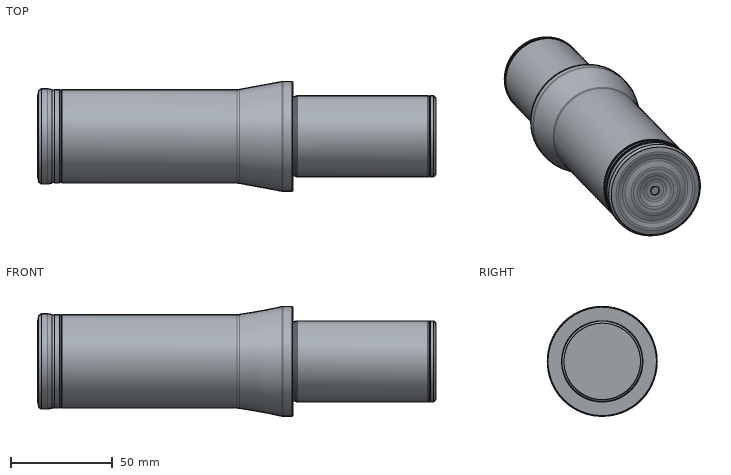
import cadquery as cq

total_length = 196.0
flange_face_x = 125.6

body_radius = 46.0 / 2
rim_radius = 23.5
flange_radius = 54.0 / 2

rim_land_start_x = 2.0
rim_land_end_x = 4.9
rim_taper_end_x = 7.3
cap_groove_start_x = rim_taper_end_x
cap_groove_end_x = 8.5
cap_groove_depth = 0.2
joint_groove_start_x = 10.8
joint_groove_end_x = 12.2
joint_groove_depth = 0.4

cone_start_x = 98.8
cone_end_x = 120.5
cone_blend_radius = 5.9
flange_blend_radius = 3.0
flange_chamfer = 0.4

center_recess_radius = 2.2
center_recess_depth = 0.4
dish_floor_radius = 5.0
dish_rim_radius = 8.6
hill_edge_radius = 12.0
valley_radius = 16.0
crest_radius = 19.6
face_edge_radius = 22.5
dish_depth = 1.0
valley_depth = 1.0
face_edge_x = 0.5
wave_blend_radius = 4.9
wave_turn_blend_radius = 2.5

handle_radius = 40.0 / 2
neck_radius = 19.6
neck_end_x = 126.6
neck_taper_end_x = 127.5
end_groove_start_x = 192.0
end_groove_end_x = 193.3
end_groove_radius = 39.5 / 2
end_chamfer = 1.2


def revolve_about_x(points):
    """Turn a closed outline of (x, radius) points about the X axis."""
    profile = cq.Workplane("XY").polyline(points).close()
    return profile.revolve(360, (0, 0, 0), (1, 0, 0))


def cylinder(start_x, end_x, radius):
    return cq.Workplane("YZ", origin=(start_x, 0, 0)).circle(radius).extrude(end_x - start_x)


def ring(start_x, end_x, inner_radius, outer_radius):
    return cylinder(start_x, end_x, outer_radius).cut(cylinder(start_x, end_x, inner_radius))


def vee_ring(start_x, end_x, bottom_radius, surface_radius):
    """Ring of triangular section that cuts a vee groove into a cylinder."""
    return revolve_about_x([
        (start_x, surface_radius),
        ((start_x + end_x) / 2, bottom_radius),
        (end_x, surface_radius),
    ])


def circle_edges(solid, x, radius):
    """Find the circular edges at the given axial place and radius."""
    tolerance = 0.02
    return [
        edge
        for edge in solid.edges("%CIRCLE").vals()
        if abs(edge.radius() - radius) < tolerance and abs(edge.Center().x - x) < tolerance
    ]


def round_circle(solid, x, radius, blend_radius):
    """Round the circular edge at the given axial place and radius."""
    return solid.newObject(circle_edges(solid, x, radius)).fillet(blend_radius)


def make_housing():
    housing = revolve_about_x([
        (dish_depth, 0),
        (dish_depth, dish_floor_radius),
        (0, dish_rim_radius),
        (0, hill_edge_radius),
        (valley_depth, valley_radius),
        (0, crest_radius),
        (face_edge_x, face_edge_radius),
        (rim_land_start_x, rim_radius),
        (rim_land_end_x, rim_radius),
        (rim_taper_end_x, body_radius),
        (cone_start_x, body_radius),
        (cone_end_x, flange_radius),
        (flange_face_x, flange_radius),
        (flange_face_x, 0),
    ])

    housing = round_circle(housing, dish_depth, dish_floor_radius, wave_blend_radius)
    housing = round_circle(housing, 0, dish_rim_radius, wave_blend_radius)
    housing = round_circle(housing, 0, hill_edge_radius, wave_blend_radius)
    housing = round_circle(housing, valley_depth, valley_radius, wave_turn_blend_radius)
    housing = round_circle(housing, 0, crest_radius, wave_turn_blend_radius)

    housing = round_circle(housing, cone_start_x, body_radius, cone_blend_radius)
    housing = round_circle(housing, cone_end_x, flange_radius, flange_blend_radius)
    flange_back_edges = circle_edges(housing, flange_face_x, flange_radius)
    housing = housing.newObject(flange_back_edges).chamfer(flange_chamfer)

    housing = housing.cut(cylinder(dish_depth, dish_depth + center_recess_depth, center_recess_radius))
    housing = housing.cut(
        ring(cap_groove_start_x, cap_groove_end_x, body_radius - cap_groove_depth, rim_radius)
    )
    return housing.cut(
        vee_ring(joint_groove_start_x, joint_groove_end_x, body_radius - joint_groove_depth, body_radius)
    )


def make_handle():
    handle = revolve_about_x([
        (flange_face_x, 0),
        (flange_face_x, neck_radius),
        (neck_end_x, neck_radius),
        (neck_taper_end_x, handle_radius),
        (total_length - end_chamfer, handle_radius),
        (total_length, handle_radius - end_chamfer),
        (total_length, 0),
    ])
    return handle.cut(
        vee_ring(end_groove_start_x, end_groove_end_x, end_groove_radius, handle_radius)
    )


housing = make_housing()
handle = make_handle()
result = cq.Compound.makeCompound([housing.val(), handle.val()])